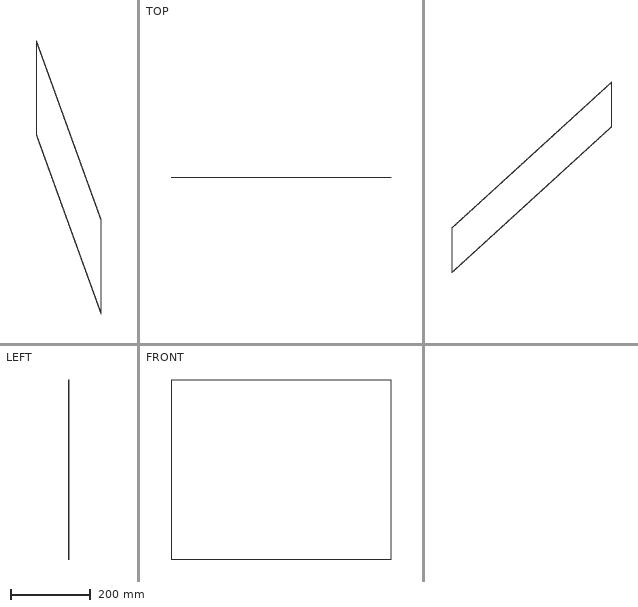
import cadquery as cq

width = 550.0
thickness = 0.14
height = 450.0

result = cq.Workplane("XY").box(width, thickness, height)